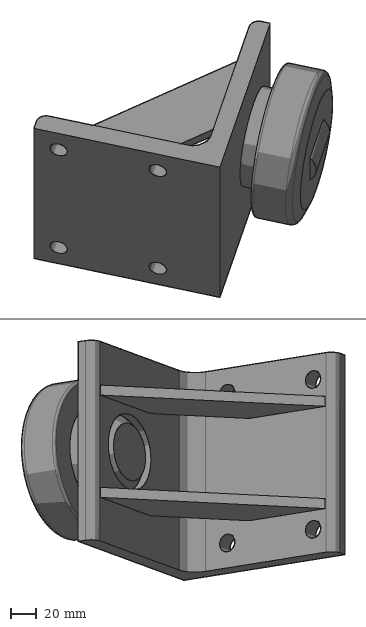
import cadquery as cq
import math

leg = 150.0
height = 160.0
plate = 15.0
corner_radius = plate
tip_radius = 8.0

rib_thickness = 8.0
rib_span = 90.0
rib_start = 8.7
rib_foot = 70.9

hole_diameter = 14.0
hole_edge = 20.0
hole_pitch_x = 80.0

axis_y = 100.0
axis_z = height / 2
stud_radius = 30.0
stud_chamfer = 7.5
collar_radius = 40.0
collar_length = 14.2
ring_radius = 61.5
ring_width = 36.7
ring_back_round = 2.0
ring_front_round = 5.0
front_face_radius = 48.0
front_taper = math.radians(20)
side_roller_radius = 20.0
side_roller_length = 2 * side_roller_radius
overall_length = 206.0


def make_angle():
    """Two perpendicular plates with a rounded inner corner and rounded tips."""
    inner_x = leg - plate
    angle = (
        cq.Workplane("XY")
        .polyline([(0, 0), (leg, 0), (leg, leg), (inner_x, leg), (inner_x, plate), (0, plate)])
        .close()
        .extrude(height)
    )
    middle = height / 2
    for x, y, radius in (
        (inner_x, plate, corner_radius),
        (0, plate, tip_radius),
        (inner_x, leg, tip_radius),
    ):
        angle = angle.edges(cq.selectors.NearestToPointSelector((x, y, middle))).fillet(radius)
    return angle


def make_rib(bottom_z):
    """Diagonal strut, at 45 degrees, set back equally from both plate tips."""
    inner_x = leg - plate
    far_y = leg - rib_start
    return (
        cq.Workplane("XY", origin=(0, 0, bottom_z))
        .polyline([
            (rib_start, plate),
            (rib_start + rib_foot, plate),
            (inner_x, far_y - rib_foot),
            (inner_x, far_y),
        ])
        .close()
        .extrude(rib_thickness)
    )


def make_bracket():
    bracket = make_angle()
    lower_rib_z = (height - rib_span) / 2
    for bottom_z in (lower_rib_z, lower_rib_z + rib_span - rib_thickness):
        bracket = bracket.union(make_rib(bottom_z))
    hole_points = [
        (x, z)
        for x in (hole_edge, hole_edge + hole_pitch_x)
        for z in (hole_edge, height - hole_edge)
    ]
    mounting_holes = cq.Workplane("XZ").pushPoints(hole_points).circle(hole_diameter / 2).extrude(-plate)
    stud_hole = (
        cq.Workplane("YZ", origin=(leg - plate, axis_y, axis_z))
        .circle(stud_radius)
        .extrude(plate)
    )
    return bracket.cut(mounting_holes).cut(stud_hole)


def make_bearing():
    """Turned stud, collar and outer ring, with a small cross roller in the end face."""
    stud_end = leg - plate
    ring_back = leg + collar_length
    ring_front = ring_back + ring_width
    taper_radius = ring_radius - ring_front_round * (1 - math.sin(front_taper))
    taper_start = ring_front - (taper_radius - front_face_radius) * math.tan(front_taper)
    round_start = taper_start - ring_front_round * math.cos(front_taper)
    turned = (
        cq.Workplane("XY")
        .moveTo(stud_end, 0)
        .lineTo(stud_end, stud_radius - stud_chamfer)
        .lineTo(stud_end + stud_chamfer, stud_radius)
        .lineTo(leg, stud_radius)
        .lineTo(leg, collar_radius)
        .lineTo(ring_back, collar_radius)
        .lineTo(ring_back, ring_radius - ring_back_round)
        .radiusArc((ring_back + ring_back_round, ring_radius), ring_back_round)
        .lineTo(round_start, ring_radius)
        .radiusArc((taper_start, taper_radius), ring_front_round)
        .lineTo(ring_front, front_face_radius)
        .lineTo(ring_front, 0)
        .close()
        .revolve(360, (0, 0, 0), (1, 0, 0))
        .translate((0, axis_y, axis_z))
    )
    side_roller = (
        cq.Workplane("XZ", origin=(overall_length - side_roller_radius, axis_y, axis_z))
        .circle(side_roller_radius)
        .extrude(side_roller_length / 2, both=True)
    )
    return turned.union(side_roller)


bracket = make_bracket()
bearing = make_bearing()
result = cq.Compound.makeCompound([bracket.val(), bearing.val()])